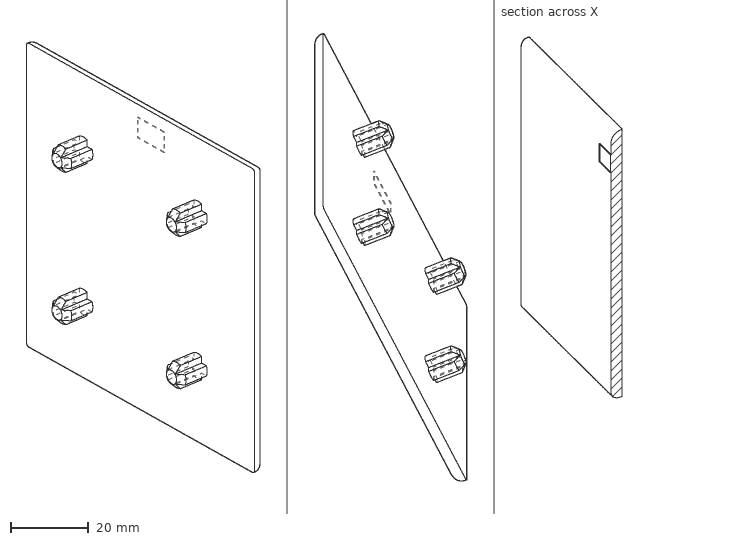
import cadquery as cq

plate_side = 89.8
edge_radius = 3.0
rim_height = 0.5
plate_thickness = rim_height + edge_radius
corner_radius = 1.0

pad_width = 10.4
pad_height = 6.0
pad_relief = 0.2
pad_center_z = 35.0

peg_spacing = 45.0
peg_diameter = 7.5
peg_length = 9.0
peg_arm_width = 3.0
peg_tip_chamfer = 1.75


def make_plate():
    """Square plate with rounded outer edges; each corner is rounded along its mitre."""
    plate = (
        cq.Workplane("XY")
        .box(plate_side, plate_thickness, plate_side, centered=(True, False, True))
        .faces(">Y")
        .edges()
        .fillet(edge_radius)
    )
    return plate.edges("|Y").fillet(corner_radius)


def make_pad():
    """Shallow pad, sunk into the plate so that the two fuse cleanly."""
    pad_depth = plate_thickness + pad_relief - rim_height
    return (
        cq.Workplane("XY")
        .box(pad_width, pad_depth, pad_height, centered=(True, False, True))
        .translate((0, rim_height, pad_center_z))
    )


def make_peg():
    """Chamfered round peg reduced to a cross, pointing towards -Y from the origin."""
    peg = (
        cq.Workplane("XZ")
        .circle(peg_diameter / 2)
        .extrude(peg_length)
        .faces("<Y")
        .chamfer(peg_tip_chamfer)
    )
    cross = (
        cq.Workplane("XZ")
        .rect(peg_diameter, peg_arm_width)
        .extrude(peg_length)
        .union(cq.Workplane("XZ").rect(peg_arm_width, peg_diameter).extrude(peg_length))
    )
    return peg.intersect(cross)


result = make_plate().union(make_pad())
peg = make_peg()
for x in (-peg_spacing / 2, peg_spacing / 2):
    for z in (-peg_spacing / 2, peg_spacing / 2):
        result = result.union(peg.translate((x, 0, z)))